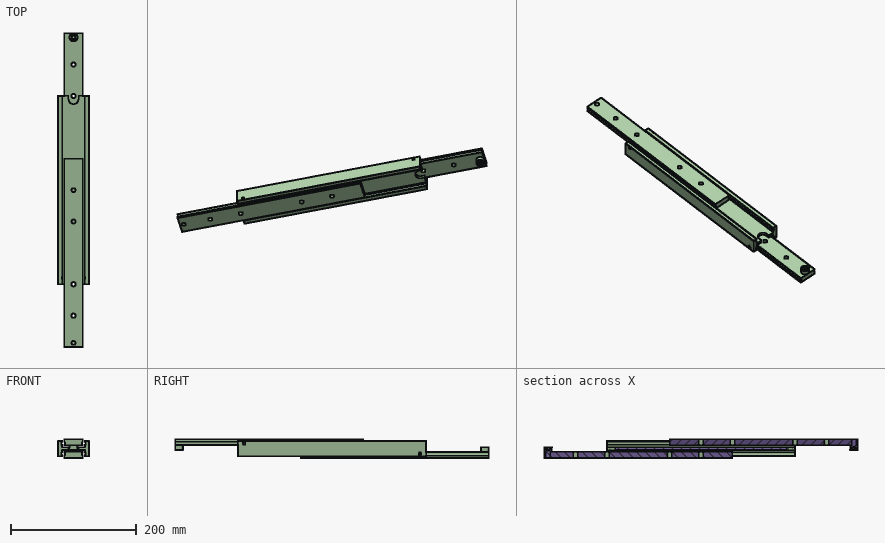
import cadquery as cq

channel_length = 300.0
channel_width = 50.0
channel_height = 25.0
rail_length = 300.0
rail_end = 250.0
rail_width = 30.0
rail_outer_z = 15.0
rail_inner_z = 5.0
rail_thickness = rail_outer_z - rail_inner_z

web_thickness = 5.0
flange_thickness = 7.0
flange_chamfer = 0.5
flange_inner_x = channel_width / 2 - flange_thickness

raceway_diameter = 6.0
raceway_x = (flange_inner_x + rail_width / 2) / 2
raceway_z = 8.5

notch_width = 16.0
notch_depth = 13.0
pin_hole_diameter = 4.0
pin_hole_inset = 10.0

mounting_hole_diameter = 6.5
mounting_hole_positions = [0.0, 50.0, 150.0, 200.0]
screw_head_diameter = 13.0
screw_head_height = 7.5
screw_head_chamfer = 0.5
screw_shank_diameter = 6.5
socket_width = 6.0
socket_depth = 4.0
drill_point_depth = 1.5
screw_y = rail_end - screw_head_diameter / 2


def make_raceway(side, level):
    """Round bar along Y that cuts the ball track on one side (+1 or -1), above or below the web."""
    return (
        cq.Workplane("XZ")
        .center(side * raceway_x, level * raceway_z)
        .circle(raceway_diameter / 2)
        .extrude(rail_end, both=True)
    )


def make_flange(side):
    """Upright flange on one side of the web, with its two outer edges chamfered."""
    return (
        cq.Workplane("XY")
        .box(flange_thickness, channel_length, channel_height)
        .edges("|Y and >X" if side > 0 else "|Y and <X")
        .chamfer(flange_chamfer)
        .translate((side * (channel_width - flange_thickness) / 2, 0, 0))
    )


def make_notch(end):
    """U-shaped cutter that opens the web at one end, giving way to a stop screw."""
    arc_center_y = channel_length / 2 - notch_depth + notch_width / 2
    return (
        cq.Workplane("XY")
        .center(0, end * (arc_center_y + notch_width / 2))
        .slot2D(2 * notch_width, notch_width, 90)
        .extrude(web_thickness, both=True)
    )


def make_pin_holes(end):
    """Cross hole through both flanges into the raceways: low at the +Y end, high at the -Y end."""
    return (
        cq.Workplane("YZ")
        .center(end * (channel_length / 2 - pin_hole_inset), -end * raceway_z)
        .circle(pin_hole_diameter / 2)
        .extrude(channel_width, both=True)
    )


def make_channel():
    """H-shaped middle member: a web between two flanges with raceways on their inner faces."""
    channel = cq.Workplane("XY").box(2 * flange_inner_x, channel_length, web_thickness)
    for side in (-1, 1):
        channel = channel.union(make_flange(side))
        for level in (-1, 1):
            channel = channel.cut(make_raceway(side, level))
    for end in (-1, 1):
        channel = channel.cut(make_notch(end)).cut(make_pin_holes(end))
    return channel


def make_screw_shank():
    """Screw shank filling the end hole of the lower rail, flush with the rail's outer face."""
    return (
        cq.Workplane("XY", origin=(0, screw_y, -rail_outer_z))
        .circle(screw_shank_diameter / 2)
        .extrude(rail_thickness)
    )


def make_lower_rail():
    """Flat rail below the web, reaching out of the +Y end of the channel."""
    rail = (
        cq.Workplane("XY", origin=(0, rail_end - rail_length / 2, -rail_outer_z))
        .rect(rail_width, rail_length)
        .extrude(rail_thickness)
    )
    for side in (-1, 1):
        rail = rail.cut(make_raceway(side, -1))
    mounting_holes = (
        cq.Workplane("XY", origin=(0, 0, -rail_outer_z))
        .pushPoints([(0, y) for y in mounting_hole_positions])
        .circle(mounting_hole_diameter / 2)
        .extrude(rail_thickness)
    )
    return rail.cut(mounting_holes).cut(make_screw_shank())


def make_lower_screw():
    """Socket-head stop screw with its head on the rail's inner face."""
    head = (
        cq.Workplane("XY", origin=(0, screw_y, -rail_inner_z))
        .circle(screw_head_diameter / 2)
        .extrude(screw_head_height)
        .faces(">Z")
        .chamfer(screw_head_chamfer)
    )
    head_top_z = screw_head_height - rail_inner_z
    socket = (
        cq.Workplane("XY", origin=(0, screw_y, head_top_z))
        .polygon(6, socket_width, circumscribed=True)
        .extrude(-socket_depth)
    )
    drill_point = cq.Solid.makeCone(
        socket_width / 2,
        0,
        drill_point_depth,
        pnt=cq.Vector(0, screw_y, head_top_z - socket_depth),
        dir=cq.Vector(0, 0, -1),
    )
    socket = socket.union(cq.Workplane(drill_point))
    return make_screw_shank().union(head).cut(socket)


def turned_over(body):
    """The same body on the other side of the web: half a turn about the X axis."""
    return body.rotate((0, 0, 0), (1, 0, 0), 180)


channel = make_channel()
lower_rail = make_lower_rail()
lower_screw = make_lower_screw()
upper_rail = turned_over(lower_rail)
upper_screw = turned_over(lower_screw)

result = cq.Compound.makeCompound(
    [
        channel.val(),
        lower_rail.val(),
        upper_rail.val(),
        lower_screw.val(),
        upper_screw.val(),
    ]
)